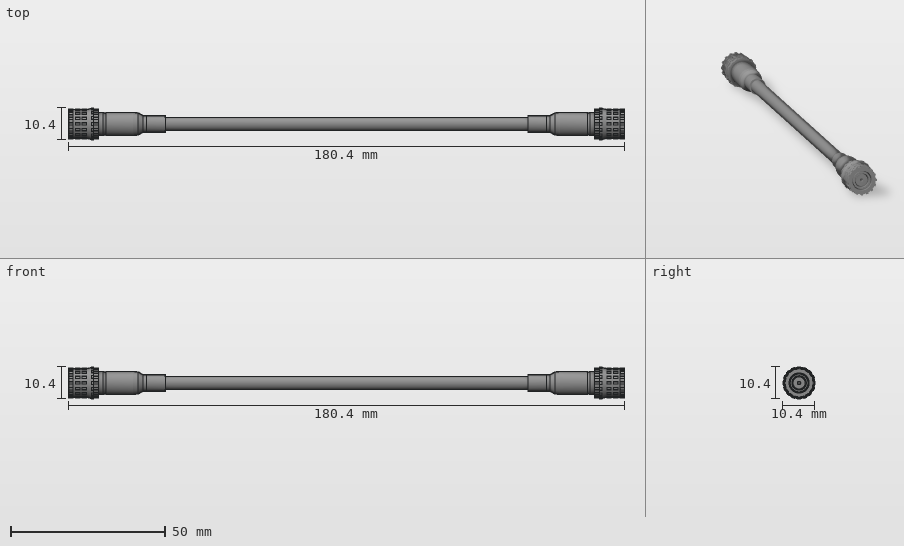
import cadquery as cq

total_length = 180.4

nut_length = 9.7
nut_bore_radius = 3.2
front_core_radius = 4.5
core_radius = 4.7
pad_radius = 4.9
first_row_end = 1.5
front_row_count = 3
pad_row_pitch = 2.2
pad_row_gap = 0.7
pads_per_row = 16
flute_width = 1.0
flange_core_radius = 5.0
flange_pad_radius = 5.2
flange_crest_start = 7.4
flange_crest_end = 8.1
front_rows_end = first_row_end + (front_row_count - 1) * pad_row_pitch

barrel_radius = 3.8
groove_start = 11.2
groove_end = 12.0
groove_radius = 3.5
barrel_end = 21.0
shoulder_end = 22.5
shoulder_radius = 3.6
taper_end = 24.2
shank_radius = 2.7
bore_floor = 5.5
tube_start = 0.5
tube_outer_radius = 2.9
tube_inner_radius = 2.3
insert_start = 1.0
insert_radius = 2.0
contact_radius = 0.5
contact_depth = 2.2

ferrule_start = 25.3
ferrule_end = 31.4
ferrule_radius = 2.7
cable_radius = 2.2


def cylinder(start, end, radius):
    """Solid cylinder on the X axis between two X positions."""
    return cq.Workplane("YZ", origin=(start, 0, 0)).circle(radius).extrude(end - start)


def tube(start, end, outer_radius, inner_radius):
    """Hollow cylinder on the X axis between two X positions."""
    return cylinder(start, end, outer_radius).cut(cylinder(start, end, inner_radius))


def turned(profile):
    """Solid of revolution about X from (x, radius) points."""
    return cq.Workplane("XY").polyline(profile).close().revolve(360, (0, 0, 0), (1, 0, 0))


def make_nut_core():
    """Smooth sleeve under the knurl, thinner at its open end and rising to the flange."""
    return turned([
        (0, nut_bore_radius),
        (0, front_core_radius),
        (first_row_end, front_core_radius),
        (first_row_end, core_radius),
        (front_rows_end, core_radius),
        (flange_crest_start, flange_core_radius),
        (flange_crest_end, flange_core_radius),
        (flange_crest_end, core_radius),
        (nut_length, core_radius),
        (nut_length, nut_bore_radius),
    ])


def make_knurl():
    """Rows of raised pads: rings parted by straight flutes along X."""
    row_inner_radius = (nut_bore_radius + front_core_radius) / 2
    knurl = tube(flange_crest_end, nut_length, pad_radius, row_inner_radius)
    knurl = knurl.union(tube(flange_crest_start, flange_crest_end, flange_pad_radius, row_inner_radius))
    for i in range(front_row_count):
        row_end = first_row_end + i * pad_row_pitch
        row_start = max(0, row_end - pad_row_pitch + pad_row_gap)
        knurl = knurl.union(tube(row_start, row_end, pad_radius, row_inner_radius))
    flutes = (
        cq.Workplane("YZ")
        .polarArray(pad_radius, 180 / pads_per_row, 360, pads_per_row)
        .rect(2 * (pad_radius - nut_bore_radius), flute_width)
        .extrude(nut_length)
    )
    return knurl.cut(flutes)


def make_nut():
    """Coupling nut: core with the knurl pads standing on it."""
    return make_nut_core().union(make_knurl())


def make_body():
    """Barrel with its neck inside the nut, the contact tube and the drilled insert."""
    body = turned([
        (bore_floor, 0),
        (bore_floor, nut_bore_radius),
        (nut_length, nut_bore_radius),
        (nut_length, barrel_radius),
        (groove_start, barrel_radius),
        (groove_end, groove_radius),
        (groove_end, barrel_radius),
        (barrel_end, barrel_radius),
        (shoulder_end, shoulder_radius),
        (taper_end, shank_radius),
        (ferrule_start, shank_radius),
        (ferrule_start, 0),
    ])
    body = body.union(tube(tube_start, bore_floor, tube_outer_radius, tube_inner_radius))
    body = body.union(cylinder(insert_start, bore_floor, insert_radius))
    return body.cut(cylinder(insert_start, insert_start + contact_depth, contact_radius))


def make_ferrule():
    """Crimp sleeve over the end of the cable."""
    return tube(ferrule_start, ferrule_end, ferrule_radius, cable_radius)


def at_both_ends(part):
    """The part and its mirror image at the other end of the cable."""
    return [part.val(), part.mirror("YZ", (total_length / 2, 0, 0)).val()]


cable = cylinder(ferrule_start, total_length - ferrule_start, cable_radius)

result = cq.Compound.makeCompound([
    cable.val(),
    *at_both_ends(make_nut()),
    *at_both_ends(make_body()),
    *at_both_ends(make_ferrule()),
])